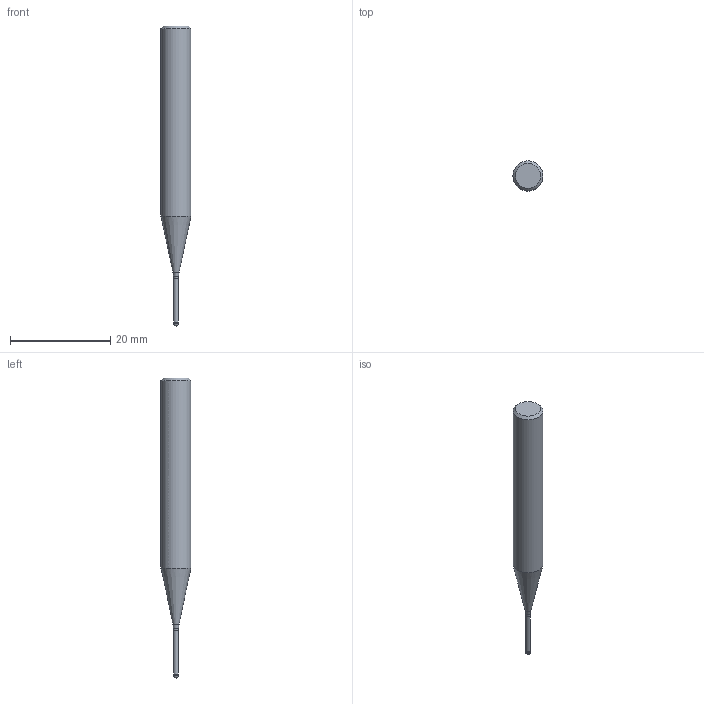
import cadquery as cq
import math

overall_length = 60.0
cutting_length = 0.8
neck_top = 9.5
relief_top = 10.0
taper_bottom = 10.8
shank_bottom = 22.0

ball_radius = 0.5
neck_radius = 0.47
relief_radius = 0.5
taper_radius = 0.62
shank_radius = 3.0

shank_chamfer = 0.5


def make_cutter():
    """Ball-nosed cutting head: a hemisphere under a short cylinder."""
    arc_offset = ball_radius * math.sqrt(0.5)
    profile = (
        cq.Workplane("XZ")
        .moveTo(0, 0)
        .threePointArc((arc_offset, ball_radius - arc_offset), (ball_radius, ball_radius))
        .lineTo(ball_radius, cutting_length)
        .lineTo(0, cutting_length)
        .close()
    )
    return profile.revolve(360, (0, 0, 0), (0, 1, 0))


def make_shank():
    """Slim neck that widens through a taper to the chamfered shank."""
    profile = (
        cq.Workplane("XZ")
        .moveTo(0, cutting_length)
        .lineTo(neck_radius, cutting_length)
        .lineTo(neck_radius, neck_top)
        .lineTo(relief_radius, relief_top)
        .lineTo(taper_radius, taper_bottom)
        .lineTo(shank_radius, shank_bottom)
        .lineTo(shank_radius, overall_length - shank_chamfer)
        .lineTo(shank_radius - shank_chamfer, overall_length)
        .lineTo(0, overall_length)
        .close()
    )
    return profile.revolve(360, (0, 0, 0), (0, 1, 0))


cutter = make_cutter()
shank = make_shank()

result = cq.Compound.makeCompound([cutter.val(), shank.val()])